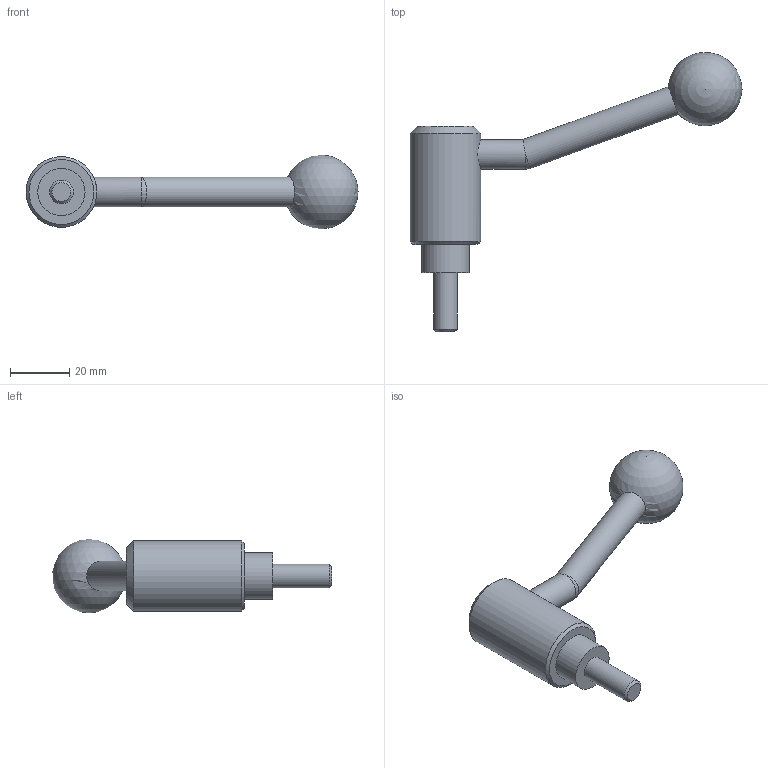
import cadquery as cq
import math

hub_diameter = 24.0
hub_length = 40.0
hub_top_chamfer = 2.4
hub_bottom_chamfer = 1.0
collar_diameter = 16.0
collar_length = 9.5
stud_diameter = 8.0
stud_length = 20.0
stud_chamfer = 0.8

arm_diameter = 10.0
arm_drop = 9.5
elbow_reach = 27.12
arm_angle = 20.0
ball_diameter = 25.0
ball_reach = 88.0

hub_top = arm_drop
hub_bottom = hub_top - hub_length
collar_bottom = hub_bottom - collar_length
angle = math.radians(arm_angle)
ball_rise = (ball_reach - elbow_reach) * math.tan(angle)
angled_length = math.hypot(ball_reach - elbow_reach, ball_rise)


def rod(start, direction, diameter, length):
    """Solid cylinder whose base circle is centred on start."""
    return cq.Workplane(
        cq.Solid.makeCylinder(diameter / 2, length, cq.Vector(*start), cq.Vector(*direction))
    )


def make_hub():
    hub = rod((0, hub_top, 0), (0, -1, 0), hub_diameter, hub_length)
    hub = hub.faces(">Y").chamfer(hub_top_chamfer)
    return hub.faces("<Y").chamfer(hub_bottom_chamfer)


def make_collar():
    return rod((0, hub_bottom, 0), (0, -1, 0), collar_diameter, collar_length)


def make_stud():
    stud = rod((0, collar_bottom, 0), (0, -1, 0), stud_diameter, stud_length)
    return stud.faces("<Y").chamfer(stud_chamfer)


def make_elbow_wedge():
    """Spherical wedge filling the open outside of the bend between the two rods."""
    radius = arm_diameter / 2
    return (
        cq.Workplane("YZ", origin=(elbow_reach, 0, 0))
        .moveTo(0, -radius)
        .lineTo(0, radius)
        .threePointArc((-radius, 0), (0, -radius))
        .close()
        .revolve(arm_angle, (0, 0), (0, 1))
    )


def make_arm():
    elbow = (elbow_reach, 0, 0)
    straight = rod((0, 0, 0), (1, 0, 0), arm_diameter, elbow_reach)
    angled = rod(elbow, (math.cos(angle), math.sin(angle), 0), arm_diameter, angled_length)
    return straight.union(angled).union(make_elbow_wedge())


def make_ball():
    return cq.Workplane("XY").sphere(ball_diameter / 2).translate((ball_reach, ball_rise, 0))


result = make_hub().union(make_collar()).union(make_stud()).union(make_arm()).union(make_ball())